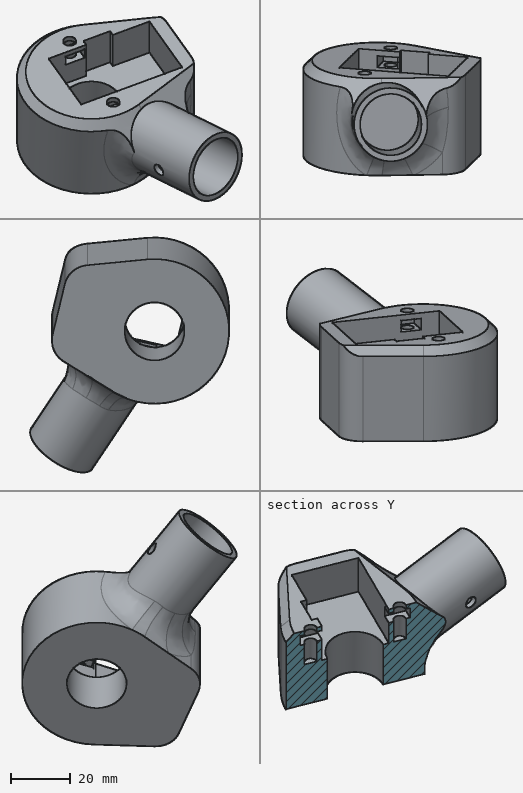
import cadquery as cq
import math

BODY_RADIUS = 25.0
BODY_HEIGHT = 33.0
BACK_Y = 33.0
FLANK_ANGLE = 18.9
CORNER_RADIUS = 8.5
RIM_CHAMFER = 3.0
CHAMFER_ANGLE = 45.0

POCKET_HALF_WIDTH = 12.0
POCKET_FRONT_Y = -10.0
POCKET_BACK_Y = 28.0
POCKET_DEPTH = 15.0
NOTCH_FRONT_Y = 4.2
NOTCH_LENGTH = 10.0
NOTCH_BACK_Y = NOTCH_FRONT_Y + NOTCH_LENGTH
NOTCH_DEPTH = 2.0
THROUGH_DIAMETER = 20.0

SCREW_X = 16.0
SCREW_DIAMETER = 4.3
SCREW_DEPTH = POCKET_DEPTH
NUT_WIDTH = 7.2
NUT_HEIGHT = 4.0
NUT_SLOT_DEPTH = 6.0

TUBE_DIAMETER = 24.6
BORE_DIAMETER = 20.6
BORE_DEPTH = 30.0
TUBE_AZIMUTH = 18.0
TUBE_ELEVATION = 12.7
TUBE_END = cq.Vector(53.02, 19.55, 26.78)
TUBE_LENGTH = 42.0
ROOT_FILLET = 11.0
PIN_DIAMETER = 4.2
PIN_FROM_END = 15.0

POCKET_FLOOR_Z = BODY_HEIGHT - POCKET_DEPTH
azimuth = math.radians(TUBE_AZIMUTH)
elevation = math.radians(TUBE_ELEVATION)
TUBE_AXIS = cq.Vector(
    math.cos(elevation) * math.cos(azimuth),
    math.cos(elevation) * math.sin(azimuth),
    math.sin(elevation),
)


def teardrop(radius):
    """Circle closed by its two tangent flanks, which meet at a point on +Y."""
    lean = math.radians(FLANK_ANGLE)
    tangent_x = radius * math.cos(lean)
    tangent_y = radius * math.sin(lean)
    apex_y = radius / math.sin(lean)
    return (
        cq.Workplane("XY")
        .moveTo(tangent_x, tangent_y)
        .lineTo(0, apex_y)
        .lineTo(-tangent_x, tangent_y)
        .threePointArc((0, -radius), (tangent_x, tangent_y))
        .close()
    )


def box_between(x_min, x_max, y_min, y_max, z_min, z_max):
    size = (x_max - x_min, y_max - y_min, z_max - z_min)
    return cq.Workplane("XY").box(*size, centered=False).translate((x_min, y_min, z_min))


def make_body(height):
    """Teardrop prism cut off flat at the back, with rounded back corners."""
    prism = teardrop(BODY_RADIUS).extrude(height)
    reach = 2 * BODY_RADIUS
    front_part = box_between(-reach, reach, -reach, BACK_Y, 0, height)
    return prism.intersect(front_part).edges("|Z and >Y").fillet(CORNER_RADIUS)


def tube_cylinder(diameter, length):
    """Cylinder running inwards along the tube axis from the open end."""
    sideways = cq.Vector(-math.sin(azimuth), math.cos(azimuth), 0)
    end_plane = cq.Plane(origin=TUBE_END, xDir=sideways, normal=-TUBE_AXIS)
    return cq.Workplane(end_plane).circle(diameter / 2).extrude(length)


def blend_tube_root(body, tube):
    """Join body and tube and round the seam where the tube leaves the body."""
    return body.union(tube).edges("%ELLIPSE or %BSPLINE").fillet(ROOT_FILLET)


def rim_envelope():
    """Solid that flares downwards at the chamfer angle from the top outline."""
    top_radius = BODY_RADIUS - RIM_CHAMFER
    flare = BODY_HEIGHT * math.tan(math.radians(CHAMFER_ANGLE))
    return teardrop(top_radius + flare).extrude(BODY_HEIGHT, taper=CHAMFER_ANGLE)


def make_pocket():
    """Pocket with its side notch and the round opening through the floor."""
    depth_range = (POCKET_FLOOR_Z, BODY_HEIGHT)
    pocket = box_between(
        -POCKET_HALF_WIDTH, POCKET_HALF_WIDTH, POCKET_FRONT_Y, POCKET_BACK_Y, *depth_range
    )
    notch = box_between(
        -POCKET_HALF_WIDTH - NOTCH_DEPTH, 0, NOTCH_FRONT_Y, NOTCH_BACK_Y, *depth_range
    )
    through_hole = cq.Workplane("XY").circle(THROUGH_DIAMETER / 2).extrude(BODY_HEIGHT)
    return pocket.union(notch).union(through_hole)


def make_screw_seat(side):
    """Screw hole and its nut slot; side is +1 or -1 along X."""
    hole = (
        cq.Workplane("XY", origin=(side * SCREW_X, 0, BODY_HEIGHT - SCREW_DEPTH))
        .circle(SCREW_DIAMETER / 2)
        .extrude(SCREW_DEPTH)
    )
    slot_floor_z = BODY_HEIGHT - NUT_SLOT_DEPTH
    ends = sorted((side * POCKET_HALF_WIDTH, side * (SCREW_X + NUT_WIDTH / 2)))
    slot = box_between(
        *ends, -NUT_WIDTH / 2, NUT_WIDTH / 2, slot_floor_z, slot_floor_z + NUT_HEIGHT
    )
    return hole.union(slot)


def make_pin_hole():
    """Horizontal hole through the tube wall on the -Y side."""
    across = cq.Vector(math.sin(azimuth), -math.cos(azimuth), 0)
    centre = TUBE_END - TUBE_AXIS * PIN_FROM_END
    pin_plane = cq.Plane(origin=centre, normal=across)
    return cq.Workplane(pin_plane).circle(PIN_DIAMETER / 2).extrude(TUBE_DIAMETER)


tube = tube_cylinder(TUBE_DIAMETER, TUBE_LENGTH)
housing = blend_tube_root(make_body(2 * BODY_HEIGHT), tube).intersect(rim_envelope())
bore = tube_cylinder(BORE_DIAMETER, BORE_DEPTH)
result = housing.union(tube).cut(make_pocket()).cut(bore).cut(make_pin_hole())
for side in (-1, 1):
    result = result.cut(make_screw_seat(side))